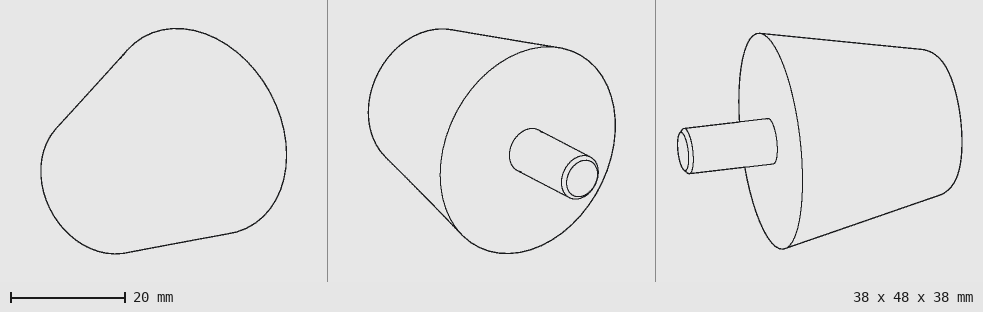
import cadquery as cq


base_diameter = 38.0
nose_diameter = 24.5
bumper_length = 32.0
nose_round_radius = 3.8

stud_diameter = 8.0
stud_length = 16.0
stud_chamfer = 0.65


def make_bumper():
    """Tapered bumper, turned from half its profile and rounded at the nose."""
    profile = (
        cq.Workplane("XY")
        .lineTo(base_diameter / 2, 0)
        .lineTo(nose_diameter / 2, -bumper_length)
        .lineTo(0, -bumper_length)
        .close()
    )
    cone = profile.revolve(360, (0, 0, 0), (0, 1, 0))
    return cone.faces("<Y").edges().fillet(nose_round_radius)


def make_stud():
    """Plain stud standing on the mounting face, chamfered at its free end."""
    shank = cq.Workplane("XZ").circle(stud_diameter / 2).extrude(-stud_length)
    return shank.faces(">Y").edges().chamfer(stud_chamfer)


bumper = make_bumper()
stud = make_stud()

result = cq.Compound.makeCompound([bumper.val(), stud.val()])